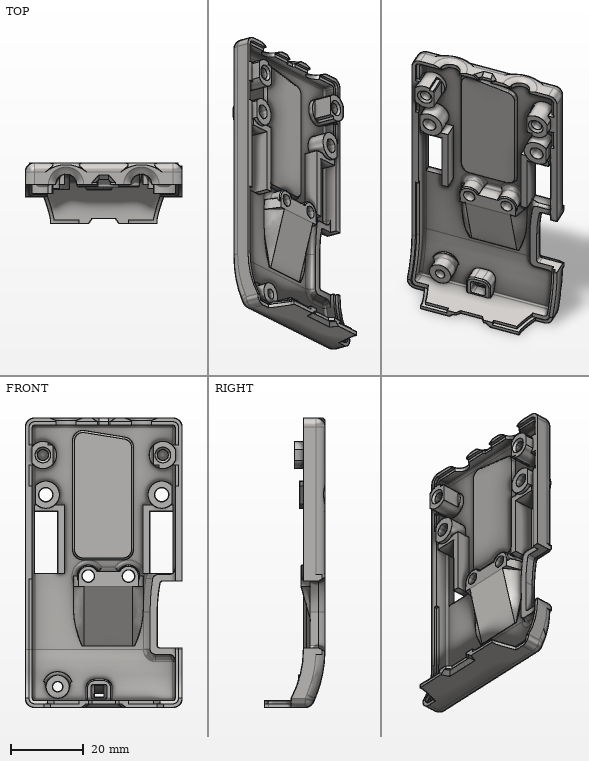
import cadquery as cq
import math

width = 43.25
height = 79.8
depth = 16.7
half_width = width / 2
corner_radius = 2.55
back_fillet = 2.5
wall = 1.9
floor = 1.9
cavity_corner = 0.8
cavity_fillet = 0.7
rim_depth = 6.0
bend_start = 15.95
bend_radius = 34.3
foot_height = 2.6
lip = 1.0
ledge_drop = 0.9
overlap = 0.8
far = 47.9


def box(x_range, y_range, z_range):
    size = [high - low for low, high in (x_range, y_range, z_range)]
    corner = (x_range[0], y_range[0], z_range[0])
    return cq.Workplane("XY").box(*size, centered=False).translate(corner)


def toward_front(y_start):
    """XZ sketch plane at Y = y_start; positive extrusion runs toward -Y."""
    return cq.Workplane("XZ", origin=(0, y_start, 0))


def cylinder(x, z, radius, y_back, y_front):
    return toward_front(y_back).center(x, z).circle(radius).extrude(y_back - y_front)


def bend_y(level, z):
    """Y of the bent surface that lies `level` in front of the back surface."""
    radius = bend_radius - level
    return -bend_radius + math.sqrt(radius**2 - (bend_start - z) ** 2)


def slab(inset, level, corner):
    """Everything in front of the bent surface at `level`, inside the inset outline."""
    z_mid = bend_start / 2
    profile = (
        cq.Workplane("YZ", origin=(-half_width, 0, 0))
        .moveTo(-level, height)
        .lineTo(-level, bend_start)
        .threePointArc((bend_y(level, z_mid), z_mid), (bend_y(level, 0), 0))
        .lineTo(-far, 0)
        .lineTo(-far, height)
        .close()
        .extrude(width)
    )
    outline = (
        toward_front(0)
        .center(0, height / 2)
        .rect(width - 2 * inset, height - 2 * inset)
        .extrude(far)
        .edges("|Y")
        .fillet(corner)
    )
    return profile.intersect(outline)


foot_y = bend_y(rim_depth, foot_height)
rim_z_mid = (bend_start + foot_height) / 2
outer = (
    cq.Workplane("YZ", origin=(-half_width, 0, 0))
    .moveTo(0, height)
    .lineTo(0, bend_start)
    .threePointArc((bend_y(0, bend_start / 2), bend_start / 2), (bend_y(0, 0), 0))
    .lineTo(foot_y, 0)
    .lineTo(foot_y, foot_height)
    .threePointArc((bend_y(rim_depth, rim_z_mid), rim_z_mid), (-rim_depth, bend_start))
    .lineTo(-rim_depth, height)
    .close()
    .extrude(width)
    .edges("|Y")
    .fillet(corner_radius)
)
outer = outer.faces(">Y").edges(">Z").fillet(back_fillet)

screw_x = 15.95
screw_z = 58.65
screw_pad_radius = 4.55
cable_x = 10.4
cable_pad_y = -9.5
cable_pad_radius = 9.0
cable_pad_base_radius = 10.8
for side in (-1, 1):
    screw_pad = cylinder(side * screw_x, screw_z, screw_pad_radius, 0, -floor)
    cable_pad = (
        cq.Workplane("XY", origin=(side * cable_x, cable_pad_y, height - corner_radius))
        .circle(cable_pad_base_radius)
        .workplane(offset=corner_radius)
        .circle(cable_pad_radius)
        .loft()
        .intersect(box((-half_width, half_width), (-rim_depth, 0), (0, height)))
    )
    outer = outer.union(screw_pad).union(cable_pad)

cavity = slab(wall, floor, cavity_corner).faces(">Y").edges(">Z").fillet(cavity_fillet)
body = outer.cut(cavity)

post_z = 69.6
post_notch = 2.8
ledge_stop = 61.05
left_ledge_top = 35.4
opening_bottom = 16.4
opening_top = 34.9
ledge = slab(lip, rim_depth - ledge_drop, corner_radius - lip)
ledge_ranges = [
    ((-far, far), (post_z + post_notch, height)),
    ((-far, far), (ledge_stop, post_z - post_notch)),
    ((-far, 0), (0, left_ledge_top)),
    ((0, far), (0, opening_bottom)),
]
for x_range, z_range in ledge_ranges:
    body = body.cut(ledge.intersect(box(x_range, (-far, 0), z_range)))

opening_x = 14.8
opening_top_x = 15.65
opening_curve_start = 26.3
opening_corner = 0.7
fence_width = 2.0
fence_height = 1.75
fence_corner = 1.4
fence_front = -4.1
fence_blend = 1.8
back_bevel_depth = 1.75
back_bevel_width = 0.95


def opening_prism(grow_x, grow_z, corner, y_back, y_front):
    """Prism of the opening's outline, grown to the left and up and down."""
    top = opening_top + grow_z
    bottom = opening_bottom - grow_z
    left = opening_x - grow_x
    return (
        toward_front(y_back)
        .moveTo(half_width, bottom)
        .lineTo(left, bottom)
        .lineTo(left, opening_curve_start)
        .tangentArcPoint((opening_top_x - grow_x, top), relative=False)
        .lineTo(half_width, top)
        .close()
        .extrude(y_back - y_front)
        .edges("|Y")
        .edges(">Z or <Z")
        .edges("not >X")
        .fillet(corner)
    )


fence = opening_prism(fence_width, fence_height, fence_corner, -overlap, fence_front)
fence_foot = cq.selectors.BoxSelector(
    (opening_x - fence_width - 0.4, -floor - 0.1, opening_bottom),
    (opening_x - fence_width + 0.4, -floor + 0.1, opening_curve_start + 0.8),
)
body = body.union(fence.intersect(slab(0, overlap, corner_radius)))
body = body.edges(fence_foot).fillet(fence_blend)
body = body.cut(opening_prism(0, 0, opening_corner, far, -far))

bevel_wires = [
    opening_prism(grow, grow, opening_corner, y, y - overlap).faces(">Y").wires().val()
    for grow, y in ((back_bevel_width, 0), (0, -back_bevel_depth))
]
body = body.cut(cq.Workplane(cq.Solid.makeLoft(bevel_wires, True)))

panel_left = -8.6
panel_right = 8.2
panel_bottom = 40.7
panel_top_left = 76.85
panel_top_right = 74.1
panel_height = 0.95
panel_corner = 2.9
panel_bevel = 0.55
panel = (
    toward_front(-floor + overlap)
    .polyline(
        [
            (panel_left, panel_bottom),
            (panel_right, panel_bottom),
            (panel_right, panel_top_right),
            (panel_left, panel_top_left),
        ]
    )
    .close()
    .extrude(overlap + panel_height)
    .edges("|Y")
    .fillet(panel_corner)
    .faces("<Y")
    .chamfer(panel_height, panel_bevel)
)
body = body.union(panel)

window_inner = 12.7
window_outer = 19.1
window_bottom = 36.95
window_top = 54.0
rib_inner = 10.85
rib_top = 55.85
wall_inner = half_width - wall


def mirrored_range(side, low, high):
    return tuple(sorted((side * low, side * high)))


for side in (-1, 1):
    frame = box(
        mirrored_range(side, rib_inner, window_outer),
        (-rim_depth, -floor + overlap),
        (window_bottom, rib_top),
    )
    window = box(
        mirrored_range(side, window_inner, window_outer),
        (-far, far),
        (window_bottom, window_top),
    )
    body = body.union(frame).cut(window)

screw_boss_radius = 3.75
screw_hole_radius = 1.9
screw_boss_front = -7.0
screw_flat_x = 18.75
for side in (-1, 1):
    boss = cylinder(side * screw_x, screw_z, screw_boss_radius, -overlap, screw_boss_front)
    slot = box(
        mirrored_range(side, screw_flat_x, half_width),
        (-far, -floor),
        (rib_top, ledge_stop),
    )
    hole = cylinder(side * screw_x, screw_z, screw_hole_radius, far, -far)
    body = body.union(boss.cut(slot)).cut(hole)

post_radius = 3.75
post_base_front = -3.2
post_front = -8.45
post_hole_radius = 1.5
post_hole_chamfer = 0.6
post_hole_depth = 4.8
post_corner = 1.4
for post_x, flat_x, corner_side in ((-16.75, -14.0, 1), (16.3, 13.7, -1)):
    side = math.copysign(1, post_x)
    base = cylinder(post_x, post_z, post_radius, -overlap, post_base_front)
    shank = cylinder(post_x, post_z, post_radius, -overlap, post_front)
    shank = shank.intersect(
        box(mirrored_range(side, abs(flat_x), wall_inner), (-far, 0), (0, height))
    )
    corner_z = post_z + corner_side * post_notch
    corner = box(
        mirrored_range(side, 0, abs(flat_x) + post_corner),
        (-far, post_base_front),
        tuple(sorted((corner_z, corner_z + corner_side * post_radius))),
    )
    shank = shank.cut(corner)
    bridge = box(
        mirrored_range(side, wall_inner - overlap, half_width - lip),
        (-rim_depth, -floor),
        (post_z - post_notch, post_z + post_notch),
    )
    hole_end = post_front + post_hole_depth
    hole = cylinder(post_x, post_z, post_hole_radius, hole_end, post_front)
    sink = cq.Workplane(
        cq.Solid.makeCone(
            post_hole_radius + post_hole_chamfer,
            post_hole_radius,
            post_hole_chamfer,
            cq.Vector(post_x, post_front, post_z),
            cq.Vector(0, 1, 0),
        )
    )
    body = body.union(base).union(shank).union(bridge).cut(hole).cut(sink)

mount_x = 1.3
mount_z = 36.2
mount_spacing = 11.1
mount_boss_radius = 3.0
mount_base_radius = 4.5
mount_boss_chamfer = 0.3
mount_hole_radius = 1.7
bar_front = -6.6
bar_half = 8.3
bar_base_half = 9.65
bar_top = 37.5
bar_blend = 1.2
bar_bottom = 33.35
ramp_half = 6.7
ramp_base_half = 7.3
ramp_bottom = 17.0
ramp_curve_end = 27.9
ramp_foot = 0.1


def mount_section(z, base_half, front_half, y_front):
    points = [
        (-base_half, -overlap),
        (base_half, -overlap),
        (base_half, -floor),
        (front_half, y_front),
        (-front_half, y_front),
        (-base_half, -floor),
    ]
    return cq.Wire.makePolygon([cq.Vector(mount_x + x, y, z) for x, y in points], close=True)


def mount_loft(low_section, high_section):
    return cq.Workplane(cq.Solid.makeLoft([low_section, high_section], True))


ramp = mount_loft(
    mount_section(ramp_bottom, bar_base_half, ramp_half, -floor - ramp_foot),
    mount_section(bar_bottom, bar_base_half, ramp_half, bar_front),
)
ramp_outline = (
    toward_front(0)
    .moveTo(0, bar_bottom)
    .lineTo(bar_base_half, bar_bottom)
    .lineTo(bar_base_half, ramp_curve_end)
    .tangentArcPoint((ramp_base_half, ramp_bottom), relative=False)
    .lineTo(0, ramp_bottom)
    .close()
    .extrude(far)
)
ramp_outline = ramp_outline.union(ramp_outline.mirror("YZ")).translate((mount_x, 0, 0))
bar = mount_loft(
    mount_section(bar_bottom, bar_base_half, bar_half, bar_front),
    mount_section(mount_z, bar_base_half, bar_half, bar_front),
)
bridge = (
    cq.Workplane("YZ", origin=(mount_x - mount_spacing / 2, 0, 0))
    .moveTo(-overlap, mount_z)
    .lineTo(bar_front, mount_z)
    .lineTo(bar_front, bar_top)
    .lineTo(-floor - bar_blend, bar_top)
    .radiusArc((-floor, bar_top + bar_blend), -bar_blend)
    .lineTo(-overlap, bar_top + bar_blend)
    .close()
    .extrude(mount_spacing)
)
body = body.union(ramp.intersect(ramp_outline)).union(bar).union(bridge)


def flared_boss(x, z, radius, base_radius, y_base, y_front):
    """Boss whose foot flares out in a concave arc to base_radius at y_base."""
    flare = base_radius - radius
    bow = flare * (1 - math.sqrt(0.5))
    return (
        cq.Workplane("XY")
        .moveTo(0, y_base + overlap)
        .lineTo(base_radius, y_base + overlap)
        .lineTo(base_radius, y_base)
        .threePointArc((radius + bow, y_base - bow), (radius, y_base - flare))
        .lineTo(radius, y_front)
        .lineTo(0, y_front)
        .close()
        .revolve(360, (0, 0, 0), (0, 1, 0))
        .translate((x, 0, z))
    )


for side in (-1, 1):
    boss_x = mount_x + side * mount_spacing / 2
    boss = flared_boss(
        boss_x, mount_z, mount_boss_radius, mount_base_radius, -floor, bar_front
    )
    body = body.union(boss.faces("<Y").chamfer(mount_boss_chamfer))
for side in (-1, 1):
    boss_x = mount_x + side * mount_spacing / 2
    body = body.cut(cylinder(boss_x, mount_z, mount_hole_radius, far, -far))

low_boss_x = -12.7
low_boss_z = 5.75
low_boss_radius = 3.2
low_boss_base_radius = 4.15
low_boss_base = -3.1
low_boss_front = -7.3
low_hole_radius = 1.4
inside = slab(lip, floor / 2, corner_radius - lip)
low_boss = flared_boss(
    low_boss_x, low_boss_z, low_boss_radius, low_boss_base_radius, low_boss_base, low_boss_front
)
low_boss = low_boss.union(cylinder(low_boss_x, low_boss_z, low_boss_base_radius, 0, low_boss_base))
body = body.union(low_boss.intersect(inside))
body = body.cut(cylinder(low_boss_x, low_boss_z, low_hole_radius, far, -far))

port_x = -1.3
port_width = 7.2
port_top = 7.8
port_corner = 2.4
port_front = -7.5
port_chamfer = 0.4
port_socket = (4.5, 4.1)
port_socket_z = 4.4
port_socket_depth = 3.2
port_slot_width = 2.6
port_slot_bottom = 2.9
port_slot_top = 3.8
port_slot_mouth = 6.1
hood = (
    toward_front(0)
    .center(port_x, port_top / 2)
    .rect(port_width, port_top)
    .extrude(-port_front)
    .edges("|Y and >Z")
    .fillet(port_corner)
    .faces("<Y")
    .chamfer(port_chamfer)
)
socket = (
    toward_front(port_front + port_socket_depth)
    .center(port_x, port_socket_z)
    .rect(*port_socket)
    .extrude(port_socket_depth)
    .edges("|Y")
    .fillet(overlap)
)
slot_back = bend_y(0, port_slot_bottom) + overlap
slot = (
    cq.Workplane("YZ", origin=(port_x - port_slot_width / 2, 0, 0))
    .moveTo(port_front + port_socket_depth, port_slot_bottom)
    .lineTo(port_front + port_socket_depth, port_slot_mouth)
    .lineTo(bend_y(0, port_slot_top), port_slot_top)
    .lineTo(slot_back, port_slot_top)
    .lineTo(slot_back, port_slot_bottom)
    .close()
    .extrude(port_slot_width)
)
body = body.union(hood.intersect(inside)).cut(socket).cut(slot)

tongue_root_half = 16.5
tongue_mid = (15.5, -12.45)
tongue_tip_half = 14.7
tongue_root_y = -7.2
tongue_arc_end = -15.6
tab_inner = 6.8


def tongue_layer(inset, y_tip, z_low, z_high):
    root = tongue_root_half - inset
    mid = tongue_mid[0] - inset
    tip = tongue_tip_half - inset
    return (
        cq.Workplane("XY", origin=(0, 0, z_low))
        .moveTo(-root, tongue_root_y)
        .lineTo(-root, foot_y)
        .threePointArc((-mid, tongue_mid[1]), (-tip, tongue_arc_end))
        .lineTo(-tip, y_tip)
        .lineTo(tip, y_tip)
        .lineTo(tip, tongue_arc_end)
        .threePointArc((mid, tongue_mid[1]), (root, foot_y))
        .lineTo(root, tongue_root_y)
        .close()
        .extrude(z_high - z_low)
    )


tongue = tongue_layer(0, -depth, 0, lip)
tongue = tongue.union(tongue_layer(lip, -depth + lip, lip, wall))
tongue = tongue.union(box((-tab_inner, tab_inner), (-depth, tongue_root_y), (0, wall)))

scoop_bottom = (6.15, 5.2, 2.4)
scoop_top = (4.9, 3.9, 1.35)
notch_plan = (4.15, 3.2, 1.35)


def notch_wire(z, tip_half, inner_half, reach):
    points = [
        (-tip_half, -depth),
        (tip_half, -depth),
        (inner_half, reach - depth),
        (-inner_half, reach - depth),
    ]
    return cq.Wire.makePolygon([cq.Vector(x, y, z) for x, y in points], close=True)


scoop = cq.Solid.makeLoft([notch_wire(0, *scoop_bottom), notch_wire(lip, *scoop_top)], True)
notch = cq.Solid.makeLoft([notch_wire(0, *notch_plan), notch_wire(wall, *notch_plan)], True)
body = body.union(tongue).cut(cq.Workplane(scoop)).cut(cq.Workplane(notch))

cable_radius = 2.9
mouth_radius = 4.9
mouth_depth = 0.7
mouth_bow = 0.1
bell = (
    cq.Workplane("XZ")
    .moveTo(0, height)
    .lineTo(mouth_radius, height)
    .threePointArc(
        ((mouth_radius + cable_radius) / 2 - mouth_bow, height - mouth_depth / 2 + mouth_bow),
        (cable_radius, height - mouth_depth),
    )
    .lineTo(cable_radius, height - wall - overlap)
    .lineTo(0, height - wall - overlap)
    .close()
    .revolve(360, (0, 0, 0), (0, 1, 0))
)
for side in (-1, 1):
    body = body.cut(bell.translate((side * cable_x, -rim_depth, 0)))

key_outer = (3.3, 1.3, 2.7)
key_inner = (1.8, 1.35, 1.4)
key_bevel = 0.95


def key_wire(z, rim_half, inner_half, reach):
    shoulder = 0.55
    points = [
        (-rim_half, -rim_depth - overlap),
        (rim_half, -rim_depth - overlap),
        (rim_half, -rim_depth + shoulder),
        (inner_half, -rim_depth + reach),
        (-inner_half, -rim_depth + reach),
        (-rim_half, -rim_depth + shoulder),
    ]
    return cq.Wire.makePolygon([cq.Vector(x, y, z) for x, y in points], close=True)


key_step = key_wire(height - key_bevel, *key_inner)
key_mouth = cq.Solid.makeLoft([key_step, key_wire(height, *key_outer)], True)
key_slot = cq.Solid.makeLoft([key_wire(height - wall, *key_inner), key_step], True)
body = body.cut(cq.Workplane(key_mouth)).cut(cq.Workplane(key_slot))

result = body